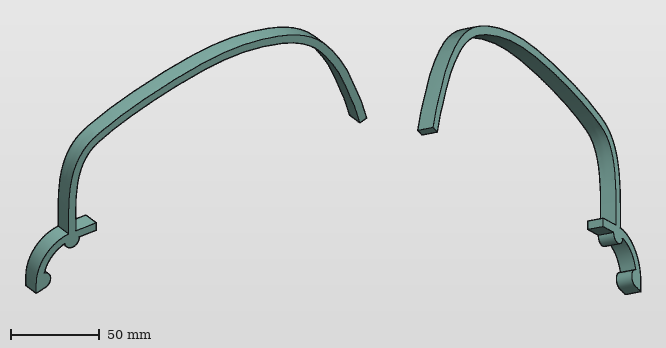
import cadquery as cq
import math

width = 10.0
overall_length = 229.9
thickness = 5.0
hook_radius = 25.0
tab_length = 16.8
bead_radius = 5.0
tip_drop = 6.5

hook_inner_radius = hook_radius - thickness
half_thickness = thickness / 2
strap_base = (0, hook_radius - half_thickness)
strap_straight_end = (0, 38.5)
end_lean = 16.0
end_lean_rad = math.radians(end_lean)
strap_end_direction = (math.sin(end_lean_rad), -math.cos(end_lean_rad))
strap_end = (overall_length - hook_radius - half_thickness * math.cos(end_lean_rad), 22.8)
side_steps = 40

strap_middle = [
    strap_straight_end,
    (0.7, 52.2),
    (5.0, 68.5),
    (11.7, 77.2),
    (21.8, 83.0),
    (49.5, 92.5),
    (82.7, 100.0),
    (116.0, 103.0),
    (138.1, 100.5),
    (155.0, 95.6),
    (171.5, 85.0),
    (182.5, 71.0),
    (190.5, 56.0),
    (196.8, 39.8),
    strap_end,
]


def side_plane():
    """YZ workplane on the part's -X face."""
    return cq.Workplane("YZ", origin=(-width / 2, 0, 0))


def strap_side(offset):
    """Points (y, z) of the curve parallel to the strap middle at a signed offset."""
    middle = cq.Edge.makeSpline(
        [cq.Vector(y, z) for y, z in strap_middle],
        tangents=[cq.Vector(0, 1), cq.Vector(*strap_end_direction)],
    )
    points = []
    for step in range(side_steps + 1):
        position = middle.positionAt(step / side_steps)
        tangent = middle.tangentAt(step / side_steps)
        points.append((position.x + offset * tangent.y, position.y - offset * tangent.x))
    return points


def make_strap():
    """Straight upright from the tab, continued by the curved strap."""
    inner = strap_side(half_thickness)
    outer = strap_side(-half_thickness)
    end_y, end_z = strap_end_direction
    profile = (
        side_plane()
        .moveTo(half_thickness, strap_base[1])
        .lineTo(*inner[0])
        .spline(inner[1:], tangents=[(0, 1), strap_end_direction], includeCurrent=True)
        .lineTo(*outer[-1])
        .spline(outer[-2::-1], tangents=[(-end_y, -end_z), (0, -1)], includeCurrent=True)
        .lineTo(-half_thickness, strap_base[1])
        .close()
    )
    return profile.extrude(width)


def make_tab_and_hook():
    diagonal = math.sqrt(0.5)
    profile = (
        side_plane()
        .moveTo(tab_length, hook_radius)
        .lineTo(0, hook_radius)
        .threePointArc((-hook_radius * diagonal, hook_radius * diagonal), (-hook_radius, 0))
        .lineTo(-hook_inner_radius, 0)
        .threePointArc(
            (-hook_inner_radius * diagonal, hook_inner_radius * diagonal), (0, hook_inner_radius)
        )
        .lineTo(tab_length, hook_inner_radius)
        .close()
    )
    return profile.extrude(width)


def make_bead(y, z):
    return side_plane().center(y, z).circle(bead_radius).extrude(width)


def make_hook_tip():
    """Wedge below the hook end, its lower face tangent to the end bead."""
    tip_distance = math.hypot(thickness, tip_drop)
    tangent_angle = math.atan2(-tip_drop, -thickness) + math.acos(bead_radius / tip_distance)
    tangent_point = (
        -hook_inner_radius + bead_radius * math.cos(tangent_angle),
        bead_radius * math.sin(tangent_angle),
    )
    profile = side_plane().polyline(
        [(-hook_inner_radius, 0), (-hook_radius, 0), (-hook_radius, -tip_drop), tangent_point]
    )
    return profile.close().extrude(width)


result = (
    make_tab_and_hook()
    .union(make_strap())
    .union(make_bead(0, hook_inner_radius))
    .union(make_bead(-hook_inner_radius, 0))
    .union(make_hook_tip())
)